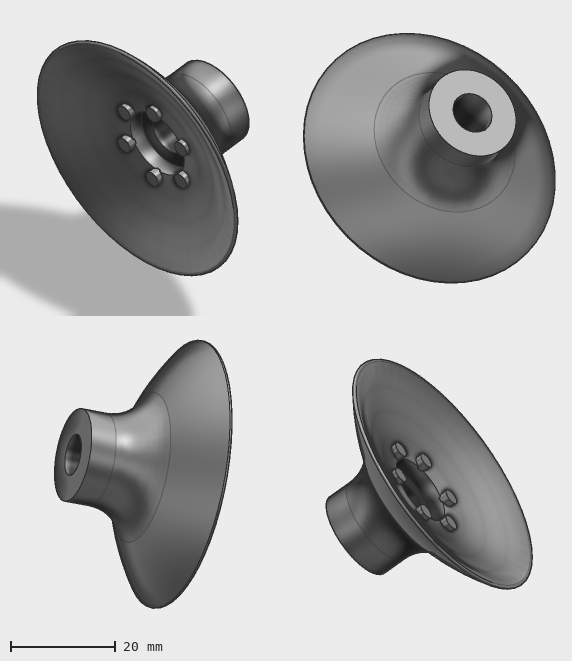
import cadquery as cq
import math

full_turn = 360.0
lip_radius = 26.0
total_length = 22.0

neck_radius = 9.0
neck_length = 5.1
flare_radius = 10.0
flare_length = 8.95

bead_radius = 0.35
bead_center_radius = lip_radius - bead_radius
bead_center_y = bead_radius
bead_inner_angle = 225.0
bead_outer_angle = 30.0
bead_middle_angle = -45.0

bowl_radius = 54.6
recess_radius = 7.0
recess_floor_y = 9.05
bore_radius = 4.0

peg_count = 6
first_peg_angle = 90.0
peg_radius = 1.55
peg_circle_radius = 8.5
peg_face_y = 4.45
peg_root_y = 6.25


def bead_point(angle):
    """Point (radius, Y) on the lip bead at an angle in degrees."""
    turn = math.radians(angle)
    return (
        bead_center_radius + bead_radius * math.cos(turn),
        bead_center_y + bead_radius * math.sin(turn),
    )


bowl_edge = bead_point(bead_inner_angle)
bowl_center_y = bowl_edge[1] - math.sqrt(bowl_radius**2 - bowl_edge[0]**2)


def bowl_point(radius):
    """Point (radius, Y) on the bowl surface."""
    return (radius, bowl_center_y + math.sqrt(bowl_radius**2 - radius**2))


def flare_point(drop):
    """Point (radius, Y) on the concave flare, a given drop below the neck."""
    spread = flare_radius - math.sqrt(flare_radius**2 - drop**2)
    return (neck_radius + spread, total_length - neck_length - drop)


def make_cup():
    """Revolve the complete wall section around the Y axis."""
    flare_end = flare_point(flare_length)
    bowl_middle = bowl_point((recess_radius + bowl_edge[0]) / 2)
    section = (
        cq.Workplane("XY")
        .moveTo(bore_radius, total_length)
        .lineTo(neck_radius, total_length)
        .lineTo(*flare_point(0))
        .threePointArc(flare_point(flare_length / 2), flare_end)
        .tangentArcPoint(bead_point(bead_outer_angle), relative=False)
        .threePointArc(bead_point(bead_middle_angle), bowl_edge)
        .threePointArc(bowl_middle, bowl_point(recess_radius))
        .lineTo(recess_radius, recess_floor_y)
        .lineTo(bore_radius, recess_floor_y)
        .close()
    )
    return section.revolve(full_turn, (0, 0, 0), (0, 1, 0))


def make_pegs():
    """Ring of pegs parallel to the axis, the first one at +Z."""
    return (
        cq.Workplane("XZ", origin=(0, peg_root_y, 0))
        .polarArray(peg_circle_radius, first_peg_angle, full_turn, peg_count)
        .circle(peg_radius)
        .extrude(peg_root_y - peg_face_y)
    )


result = make_cup().union(make_pegs())